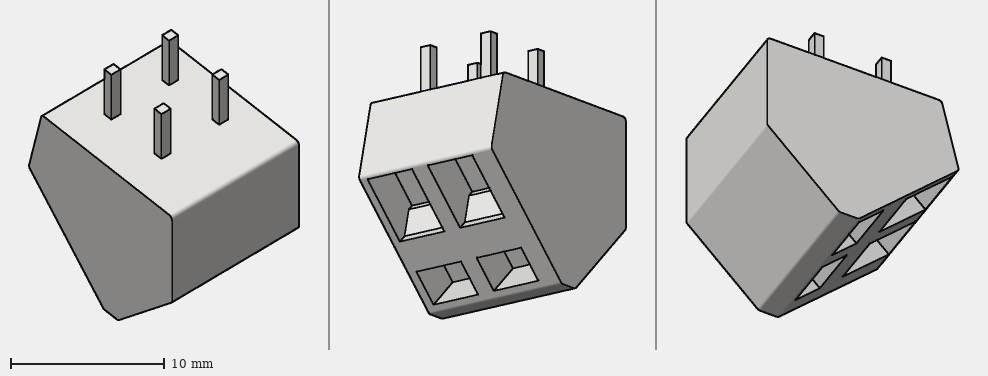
import cadquery as cq
import math

body_length = 14.26
body_width = 11.0
body_height = 13.0
right_wall_bottom = 5.37
nose_left = 7.45
top_left = 1.25
left_corner_x = -0.03
corner_radius = 0.3
nose_right = body_length - right_wall_bottom
left_corner_z = nose_left - left_corner_x
left_face_lean = (top_left - left_corner_x) / (body_height - left_corner_z)

pitch = 5.0
pin_size_x = 0.7
pin_size_y = 0.8
pin_height = 17 - body_height
first_pin_x = 4.25
first_pin_y = 3.54

pocket_width = 3.69
pocket_depth = 2.87
pocket_reach = pocket_depth / math.sqrt(2)
lever_pocket_y = 1.7
lever_bottom = 3.9
lever_top = 7.33
lever_lower_step = 0.5
lever_face_height = 1.94
wire_pocket_y = 1.63
wire_bottom = 0.4
wire_top = 2.23


def slope_point(z, depth=0.0):
    """Point entering the left underside at height z, moved in by depth along X and Z."""
    return (nose_left - z + depth, z + depth)


def extrude_profile(points, start_y, width):
    """Closed XZ outline extruded toward +Y."""
    return cq.Workplane("XZ", origin=(0, start_y, 0)).polyline(points).close().extrude(-width)


def make_body():
    outline = [
        (left_corner_x, left_corner_z),
        (top_left, body_height),
        (body_length, body_height),
        (body_length, right_wall_bottom),
        (nose_right, 0),
        (nose_left, 0),
    ]
    return extrude_profile(outline, 0, body_width).edges("|Y").fillet(corner_radius)


def make_pins():
    centers = [
        (first_pin_x + column * pitch, first_pin_y + row * pitch)
        for column in range(2)
        for row in range(2)
    ]
    pins = cq.Workplane("XY", origin=(0, 0, body_height)).pushPoints(centers)
    return pins.rect(pin_size_x, pin_size_y).extrude(pin_height)


def make_lever_pocket(start_y):
    step_x, step_z = slope_point(lever_bottom, lever_lower_step)
    face_top = (step_x + left_face_lean * lever_face_height, step_z + lever_face_height)
    last_step = pocket_reach - (sum(face_top) - nose_left) / 2
    outline = [
        slope_point(lever_bottom),
        (step_x, step_z),
        face_top,
        (face_top[0] + last_step, face_top[1] + last_step),
        slope_point(lever_top, pocket_reach),
        slope_point(lever_top),
    ]
    return extrude_profile(outline, start_y, pocket_width)


def make_wire_pocket(start_y):
    outline = [
        slope_point(wire_bottom),
        slope_point(wire_bottom, pocket_reach),
        slope_point(wire_top, pocket_reach),
        slope_point(wire_top),
    ]
    return extrude_profile(outline, start_y, pocket_width)


result = make_body().union(make_pins())
for pole in range(2):
    result = result.cut(make_lever_pocket(lever_pocket_y + pole * pitch))
    result = result.cut(make_wire_pocket(wire_pocket_y + pole * pitch))